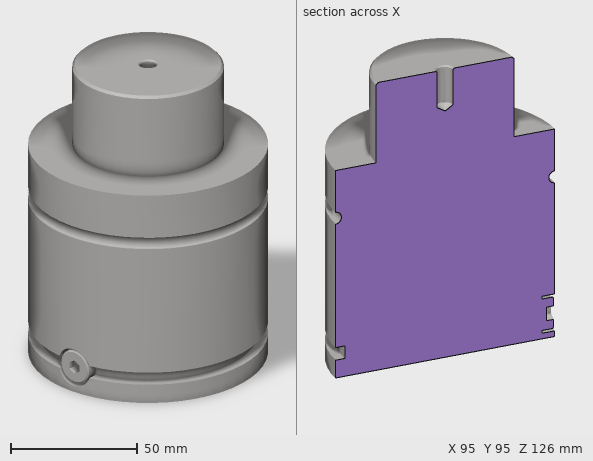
import cadquery as cq
import math

body_diameter = 95.0
body_height = 91.0
rod_diameter = 60.0
total_height = 126.0
rod_chamfer = 1.0

round_groove_z = 70.0
round_groove_radius = 2.5

square_groove_bottom = 8.0
square_groove_width = 5.3
square_groove_depth = 4.0

thread_core_diameter = 6.8
thread_diameter = 8.0
thread_hole_depth = 16.0
drill_point_angle = 118.0

port_diameter = 16.0
port_floor_radius = 42.0
plug_diameter = 14.0
plug_face_radius = 47.0
plug_chamfer = 0.6
socket_across_flats = 5.0
socket_depth = 3.0

body_radius = body_diameter / 2
rod_height = total_height - body_height
port_z = square_groove_bottom + square_groove_width / 2


def make_body_and_rod():
    body = cq.Workplane("XY").circle(body_radius).extrude(body_height)
    rod = (
        cq.Workplane("XY")
        .workplane(offset=body_height)
        .circle(rod_diameter / 2)
        .extrude(rod_height)
        .faces(">Z")
        .chamfer(rod_chamfer)
    )
    return body.union(rod)


def make_round_groove():
    """Ring with a round section centred on the body surface."""
    return (
        cq.Workplane("XZ")
        .center(body_radius, round_groove_z)
        .circle(round_groove_radius)
        .revolve(360, (-body_radius, 0), (-body_radius, 1))
    )


def make_square_groove():
    return (
        cq.Workplane("XY")
        .workplane(offset=square_groove_bottom)
        .circle(body_radius + square_groove_depth)
        .circle(body_radius - square_groove_depth)
        .extrude(square_groove_width)
    )


def make_thread_hole():
    """Core hole with a conical drill point and a countersunk mouth."""
    core_radius = thread_core_diameter / 2
    thread_radius = thread_diameter / 2
    mouth_depth = thread_radius - core_radius
    point_height = core_radius / math.tan(math.radians(drill_point_angle / 2))
    hole_bottom = total_height - thread_hole_depth
    return (
        cq.Workplane("XZ")
        .moveTo(0, total_height)
        .lineTo(thread_radius, total_height)
        .lineTo(core_radius, total_height - mouth_depth)
        .lineTo(core_radius, hole_bottom)
        .lineTo(0, hole_bottom - point_height)
        .close()
        .revolve(360, (0, 0), (0, 1))
    )


def port_plane(distance):
    """Sketch plane facing -Y at the given distance from the body axis, centred on the port."""
    return cq.Workplane("XZ", origin=(0, -distance, port_z))


def make_port():
    return port_plane(port_floor_radius).circle(port_diameter / 2).extrude(body_radius - port_floor_radius)


def make_plug():
    plug = (
        port_plane(port_floor_radius)
        .circle(plug_diameter / 2)
        .extrude(plug_face_radius - port_floor_radius)
        .faces("<Y")
        .chamfer(plug_chamfer)
    )
    socket_across_corners = socket_across_flats / math.cos(math.pi / 6)
    socket = (
        port_plane(plug_face_radius)
        .transformed(rotate=(0, 0, 90))
        .polygon(6, socket_across_corners)
        .extrude(-socket_depth)
    )
    return plug.cut(socket)


result = (
    make_body_and_rod()
    .cut(make_round_groove())
    .cut(make_square_groove())
    .cut(make_thread_hole())
    .cut(make_port())
    .union(make_plug())
)